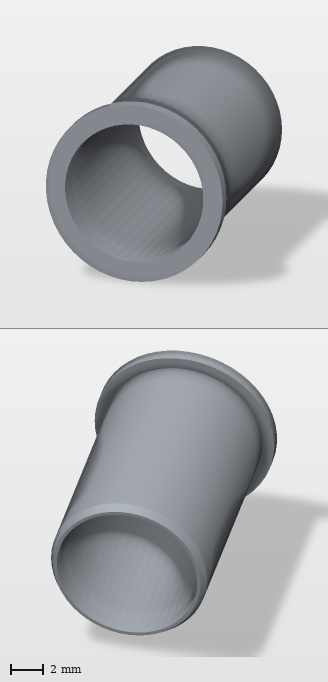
import cadquery as cq

length = 16.0
flange_diameter = 11.5
flange_thickness = 0.83
body_diameter = 10.0
bore_diameter = 9.0
chamfer_length = 0.53
chamfer_depth = 0.29

flange_radius = flange_diameter / 2
body_radius = body_diameter / 2
bore_radius = bore_diameter / 2
tip_radius = body_radius - chamfer_depth

half_section = (
    cq.Workplane("XY")
    .moveTo(bore_radius, 0)
    .lineTo(flange_radius, 0)
    .lineTo(flange_radius, flange_thickness)
    .lineTo(body_radius, flange_thickness)
    .lineTo(body_radius, length - chamfer_length)
    .lineTo(tip_radius, length)
    .lineTo(bore_radius, length)
    .close()
)

sleeve = half_section.revolve(360, (0, 0, 0), (0, 1, 0))
result = sleeve.translate((0, -length / 2, 0))